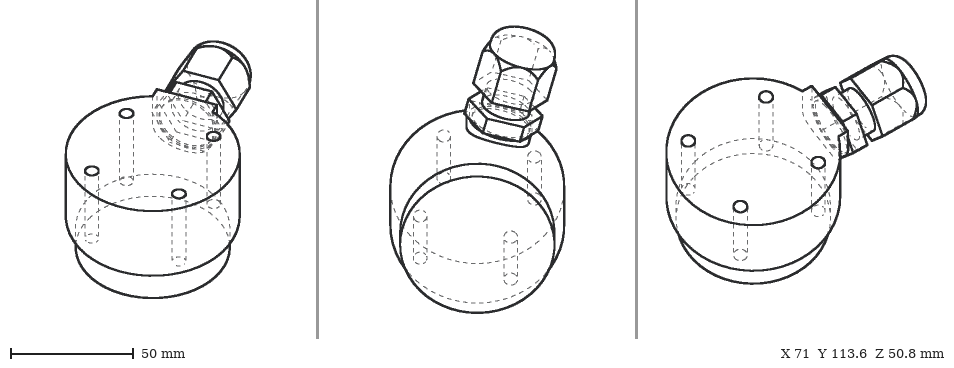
import cadquery as cq
import math

CASE_DIAMETER = 71.0
BASE_DIAMETER = 63.0
TOTAL_LENGTH = 113.6
TOTAL_HEIGHT = 50.8
BASE_HEIGHT = 14.1
CASE_EDGE_RADIUS = 3.0
BASE_EDGE_RADIUS = 3.9

HOLE_DIAMETER = 5.6
HOLE_PITCH = 38.2

GLAND_AXIS_Z = TOTAL_HEIGHT - 14.4
BOSS_WIDTH = 26.4
BOSS_FACE_Y = 37.6

GLAND_END_Y = TOTAL_LENGTH - CASE_DIAMETER / 2
COLLAR_DIAMETER = 24.4
COLLAR_LENGTH = 1.0
HEX_ACROSS_FLATS = 27.0
LOCK_HEX_LENGTH = 6.9
NECK_DIAMETER = 20.0
NECK_LENGTH = 7.5
DOME_DIAMETER = HEX_ACROSS_FLATS
DOME_RADIUS = 4.9
DOME_RIM_LENGTH = 1.4
CAP_CHAMFER_LENGTH = 3.8

HEX_ACROSS_CORNERS = HEX_ACROSS_FLATS / math.cos(math.pi / 6)
LOCK_HEX_Y = BOSS_FACE_Y + COLLAR_LENGTH
NECK_Y = LOCK_HEX_Y + LOCK_HEX_LENGTH
CAP_Y = NECK_Y + NECK_LENGTH
CAP_HEX_END_Y = GLAND_END_Y - DOME_RADIUS - DOME_RIM_LENGTH


def gland_plane(y):
    """Plane across the gland axis, with local Z along +Y and local Y along +Z."""
    return cq.Workplane(cq.Plane(origin=(0, y, GLAND_AXIS_Z), xDir=(-1, 0, 0), normal=(0, 1, 0)))


def make_boss():
    half = BOSS_WIDTH / 2
    top = TOTAL_HEIGHT - GLAND_AXIS_Z
    return (
        gland_plane(0)
        .moveTo(-half, top)
        .lineTo(-half, 0)
        .threePointArc((0, -half), (half, 0))
        .lineTo(half, top)
        .close()
        .extrude(BOSS_FACE_Y)
    )


def make_screw_holes():
    """Cutters for the four screw holes, as tall as the case."""
    return (
        cq.Workplane("XY", origin=(0, 0, BASE_HEIGHT))
        .rarray(HOLE_PITCH, HOLE_PITCH, 2, 2)
        .circle(HOLE_DIAMETER / 2)
        .extrude(TOTAL_HEIGHT - BASE_HEIGHT)
    )


def make_cap_hex():
    """Hexagon whose outer corners are turned down to the dome diameter."""
    length = CAP_HEX_END_Y - CAP_Y
    corner_radius = HEX_ACROSS_CORNERS / 2
    turned = (
        cq.Workplane("XY")
        .moveTo(0, CAP_Y)
        .lineTo(corner_radius, CAP_Y)
        .lineTo(corner_radius, CAP_HEX_END_Y - CAP_CHAMFER_LENGTH)
        .lineTo(DOME_DIAMETER / 2, CAP_HEX_END_Y)
        .lineTo(0, CAP_HEX_END_Y)
        .close()
        .revolve(360, (0, 0), (0, 1))
        .translate((0, 0, GLAND_AXIS_Z))
    )
    return gland_plane(CAP_Y).polygon(6, HEX_ACROSS_CORNERS).extrude(length).intersect(turned)


def make_gland():
    collar = gland_plane(BOSS_FACE_Y).circle(COLLAR_DIAMETER / 2).extrude(COLLAR_LENGTH)
    lock_hex = gland_plane(LOCK_HEX_Y).polygon(6, HEX_ACROSS_CORNERS).extrude(LOCK_HEX_LENGTH)
    neck = gland_plane(NECK_Y).circle(NECK_DIAMETER / 2).extrude(NECK_LENGTH)
    dome = (
        gland_plane(CAP_HEX_END_Y)
        .circle(DOME_DIAMETER / 2)
        .extrude(GLAND_END_Y - CAP_HEX_END_Y)
        .faces(">Y").edges().fillet(DOME_RADIUS)
    )
    return collar.union(lock_hex).union(neck).union(make_cap_hex()).union(dome)


def make_housing():
    """Case with its boss, screw holes and cable gland."""
    case = (
        cq.Workplane("XY", origin=(0, 0, BASE_HEIGHT))
        .circle(CASE_DIAMETER / 2)
        .extrude(TOTAL_HEIGHT - BASE_HEIGHT)
        .faces("<Z").edges().fillet(CASE_EDGE_RADIUS)
    )
    return case.union(make_boss()).cut(make_screw_holes()).union(make_gland())


def make_base():
    return (
        cq.Workplane("XY")
        .circle(BASE_DIAMETER / 2)
        .extrude(BASE_HEIGHT)
        .faces(">Z").edges().fillet(BASE_EDGE_RADIUS)
    )


housing = make_housing()
base = make_base()
result = cq.Compound.makeCompound([housing.solids().val(), base.solids().val()])